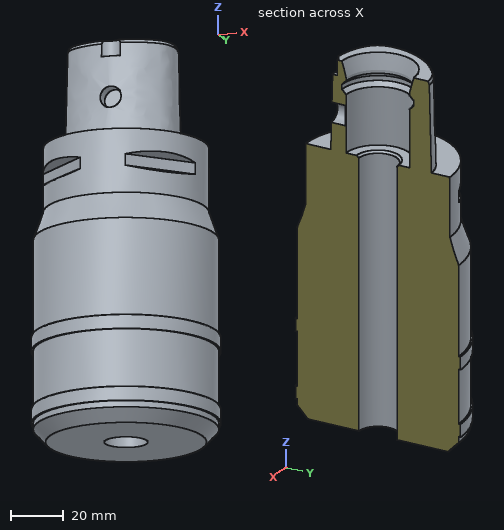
import cadquery as cq
import math

total_height = 153.0
shank_length = 38.0
flange_top = total_height - shank_length
flange_bottom = 90.0
shoulder_bottom = 79.1

flange_radius = 31.5
body_radius = 35.3
band_radius = 72.0 / 2
bottom_chamfer_height = 4.9
bottom_radius = 30.6
band_levels = ((7.3, 12.9), (35.5, 41.0))

shank_base_radius = 22.0
shank_taper = 1 / 20
shank_top_radius = shank_base_radius - shank_length * shank_taper / 2
lobe_size = 1.4
lobe_points = 48
rim_chamfer_height = 1.4
rim_chamfer_width = 0.54

mouth_radius = 15.6
bore_radius = 13.8
mouth_depth = 6.6
groove_start = 8.0
groove_end = 13.6
groove_depth = 1.8
bore_depth = shank_length
through_radius = 8.3
through_chamfer = 0.9

notch_radius = 4.7
notch_center = 22.5
notch_depth = 6.5
radial_hole_radius = 4.1
radial_hole_depth = 22.5
radial_hole_floor = 14.2

slot_count = 4
slot_level = 102.8
slot_floor_distance = 27.7
slot_floor_height = 4.5
slot_mouth_height = 7.8


def cylinder(radius, bottom, top):
    return cq.Workplane("XY").workplane(offset=bottom).circle(radius).extrude(top - bottom)


def revolved(points):
    """Revolve a closed (radius, height) outline about Z."""
    return cq.Workplane("XZ").polyline(points).close().revolve(360, (0, 0, 0), (0, 1, 0))


def lobed_wire(mean_radius, level):
    """Constant-width outline with support distance mean_radius + lobe_size * cos(3 * angle)."""
    def point(t):
        angle = 2 * math.pi * t
        support = mean_radius + lobe_size * math.cos(3 * angle)
        slope = -3 * lobe_size * math.sin(3 * angle)
        across = support * math.sin(angle) + slope * math.cos(angle)
        along = support * math.cos(angle) - slope * math.sin(angle)
        return -across, along, level

    points = [cq.Vector(*point(index / lobe_points)) for index in range(lobe_points)]
    edge = cq.Edge.makeSpline(points, periodic=True)
    return cq.Wire.assembleEdges([edge])


def lobed_frustum(lower_radius, lower_level, upper_radius, upper_level):
    wires = [lobed_wire(lower_radius, lower_level), lobed_wire(upper_radius, upper_level)]
    return cq.Workplane(cq.Solid.makeLoft(wires, True))


def make_body():
    body = revolved([
        (0, 0),
        (bottom_radius, 0),
        (body_radius, bottom_chamfer_height),
        (body_radius, shoulder_bottom),
        (flange_radius, flange_bottom),
        (flange_radius, flange_top),
        (0, flange_top),
    ])
    for bottom, top in band_levels:
        body = body.union(cylinder(band_radius, bottom, top))
    return body


def make_shank():
    rim_level = total_height - rim_chamfer_height
    rim_radius = shank_top_radius + rim_chamfer_height * shank_taper / 2
    taper = lobed_frustum(shank_base_radius, flange_top, rim_radius, rim_level)
    rim = lobed_frustum(rim_radius, rim_level, shank_top_radius - rim_chamfer_width, total_height)
    return taper.union(rim)


def make_bore():
    groove_radius = bore_radius + groove_depth
    profile = [
        (0, total_height),
        (mouth_radius, total_height),
        (bore_radius, total_height - mouth_depth),
        (bore_radius, total_height - groove_start),
        (groove_radius, total_height - groove_start - groove_depth),
        (groove_radius, total_height - groove_end + groove_depth),
        (bore_radius, total_height - groove_end),
        (bore_radius, total_height - bore_depth),
        (through_radius + through_chamfer, total_height - bore_depth),
        (through_radius, total_height - bore_depth - through_chamfer),
        (through_radius, 0),
        (0, 0),
    ]
    return revolved(profile)


def make_notch():
    notch = cylinder(notch_radius, total_height - notch_depth, total_height)
    return notch.translate((0, -notch_center, 0))


def make_radial_hole():
    """Blind hole running in from outside the shank, along +Y."""
    start = cq.Workplane("XZ", origin=(0, -radial_hole_floor, total_height - radial_hole_depth))
    return start.circle(radial_hole_radius).extrude(flange_radius - radial_hole_floor)


def make_slot():
    """Flat-floored slot with sides flaring outward, on the +X side."""
    half_floor = slot_floor_height / 2
    half_mouth = slot_mouth_height / 2
    return (
        cq.Workplane("XZ", origin=(0, 0, slot_level))
        .moveTo(slot_floor_distance, -half_floor)
        .lineTo(flange_radius, -half_mouth)
        .lineTo(flange_radius, half_mouth)
        .lineTo(slot_floor_distance, half_floor)
        .close()
        .extrude(flange_radius, both=True)
    )


result = make_body().union(make_shank())
result = result.cut(make_bore()).cut(make_notch()).cut(make_radial_hole())
for index in range(slot_count):
    slot_angle = (index + 0.5) * 360 / slot_count
    result = result.cut(make_slot().rotate((0, 0, 0), (0, 0, 1), slot_angle))